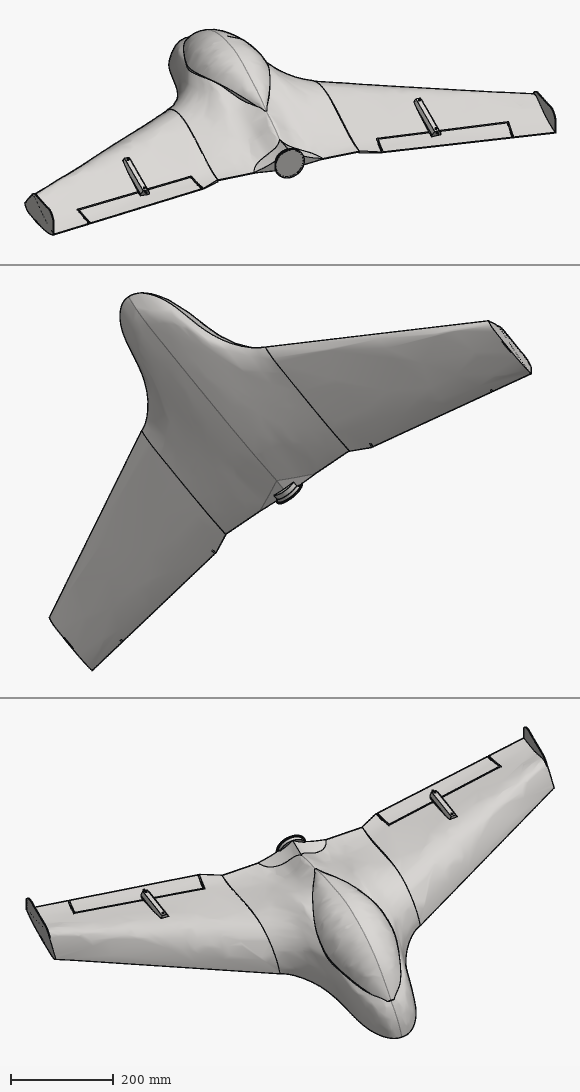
import cadquery as cq
import math


LENGTH = 600.0
HALF_SPAN = 533.0
ROOT_Y = 150.0
BODY_TAIL_X = 521.0
ROOT_LE_X = 245.0
TIP_LE_X = 459.0
KINK_Y = 188.0
KINK_X = 541.0
TRAILING_EDGE = 1.0
BELLY_DEPTH = 23.66
WING_DEPTH = 12.5

TOP_FRACTIONS = (0.1, 0.28, 0.55, 0.85)
BOTTOM_FRACTIONS = (0.8, 0.5, 0.2, 0.07)
BOTTOM_DEPTH_RATIOS = (0.72, 0.985, 0.985, 0.72)

BODY_RIBS = (
    (0.0, 0.0, BELLY_DEPTH, (54, 74, 84, 54)),
    (10.0, 1.2, 23.4, (55, 73, 84, 51)),
    (19.0, 5.0, 23.0, (56, 72, 84, 44)),
    (35.0, 19.0, 22.0, (55, 71, 84, 32)),
    (48.0, 39.0, 20.5, (53, 70, 83, 25)),
    (60.0, 71.0, 19.0, (52, 72, 81, 20)),
    (69.0, 113.0, 18.0, (52, 75, 75, 17)),
    (82.0, 161.0, 16.5, (49, 70, 64, 14)),
    (108.0, 209.0, 14.5, (40, 60, 49, 12)),
    (129.0, 232.0, 13.0, (36, 55, 43, 10)),
    (ROOT_Y, ROOT_LE_X, WING_DEPTH, (33, 51, 38, 7)),
)
ROOT_HEIGHTS = BODY_RIBS[-1][3]
TIP_HEIGHTS = (15, 35, 21, 6)

CANOPY_FRAMES = (
    (52.0, 8.0, 53.0, 56.0),
    (70.0, 25.0, 59.0, 71.0),
    (98.0, 42.0, 64.0, 91.0),
    (140.0, 58.0, 66.0, 111.0),
    (197.0, 72.0, 71.0, 123.0),
    (225.0, 72.0, 76.0, 124.0),
    (261.0, 67.0, 82.0, 122.0),
    (316.0, 48.0, 84.0, 107.0),
    (360.0, 28.0, 78.0, 91.0),
    (385.0, 14.0, 71.0, 80.5),
    (410.0, 4.0, 64.0, 67.0),
)
CANOPY_EMBED = 12.0
CANOPY_SHOULDER_Y = 0.69
CANOPY_SHOULDER_Z = 0.62

MOTOR_Z = 8.0
MOTOR_DISC_R = 31.0
MOTOR_BOSS_R = 28.5
MOTOR_CRADLE_R = 27.5
MOTOR_BOSS_START_X = 518.0
MOTOR_CRADLE_START_X = 508.0
MOTOR_DISC_X = 525.0
MOTOR_DISC_T = 2.5
FAIRING_START_X = 460.0
FAIRING_HALF_PROFILE = ((77.0, 0.0), (49.0, 8.0), (24.0, 19.0), (0.0, 36.5))
FAIRING_DEPTH = 8.0

WINGLET_T = 2.0
WINGLET_TOP = 45.0
WINGLET_FRONT = (494.0, 36.0)
WINGLET_FRONT_ROUND = ((503.0, 43.0), (515.0, WINGLET_TOP))
WINGLET_REAR_ROUND = ((568.0, WINGLET_TOP), (591.0, 41.0), (LENGTH, 30.0))
WINGLET_KEEL = ((544.0, -11.0), (524.0, -13.0), (503.0, -12.5), (471.0, -6.0))

ELEVON_INNER_Y = 189.0
ELEVON_OUTER_Y = 450.0
ELEVON_CHORD = 44.0
ELEVON_GAP = 3.0
ELEVON_CUT_H = 45.0

LINKAGE_Y = 309.0
LINKAGE_START = (441.0, 44.0)
LINKAGE_END = (534.0, 18.0)
LINKAGE_BASE_W = 19.0
LINKAGE_TOP_W = 9.5
LINKAGE_SIDE_H = 8.0
LINKAGE_ROOT_H = 16.0
PIN_D = 3.6
PIN_H = 2.0
PIN_INSET = 6.0
PUSHROD_D = 2.9
PUSHROD_END_X = 539.0


def rib(y, le_x, te_x, depth, heights):
    """Closed airfoil-like wire in the plane at y."""
    chord = te_x - le_x
    nose = cq.Vector(le_x, y, 0)
    tail_top = cq.Vector(te_x, y, TRAILING_EDGE)
    tail_bottom = cq.Vector(te_x, y, -TRAILING_EDGE)
    top = [cq.Vector(le_x + f * chord, y, z) for f, z in zip(TOP_FRACTIONS, heights)]
    bottom = [
        cq.Vector(le_x + f * chord, y, -depth * ratio)
        for f, ratio in zip(BOTTOM_FRACTIONS, BOTTOM_DEPTH_RATIOS)
    ]
    return cq.Wire.assembleEdges([
        cq.Edge.makeSpline([nose] + top + [tail_top]),
        cq.Edge.makeLine(tail_top, tail_bottom),
        cq.Edge.makeSpline([tail_bottom] + bottom + [nose]),
    ])


def half_body():
    """+Y half of the centre body, from the centre plane to the wing joint."""
    ribs = [rib(y, le_x, BODY_TAIL_X, depth, heights) for y, le_x, depth, heights in BODY_RIBS]
    return cq.Workplane(cq.Solid.makeLoft(ribs, False))


def trailing_edge_x(y):
    """X of the swept outer trailing edge, extended to any y."""
    return KINK_X + (LENGTH - KINK_X) * (y - KINK_Y) / (HALF_SPAN - KINK_Y)


def outer_wing():
    """Swept, tapered wing panel with the inner end of its trailing edge cut back to the body."""
    root = rib(ROOT_Y, ROOT_LE_X, trailing_edge_x(ROOT_Y), WING_DEPTH, ROOT_HEIGHTS)
    tip = rib(HALF_SPAN, TIP_LE_X, LENGTH, WING_DEPTH, TIP_HEIGHTS)
    wing = cq.Workplane(cq.Solid.makeLoft([root, tip], True))
    notch = (
        cq.Workplane("XY", origin=(0, 0, -BELLY_DEPTH))
        .moveTo(BODY_TAIL_X, ROOT_Y)
        .lineTo(KINK_X, KINK_Y)
        .lineTo(LENGTH, ROOT_Y)
        .close()
        .extrude(2 * BELLY_DEPTH)
    )
    return wing.cut(notch)


def elevon_gap():
    """Groove around three sides of the elevon, open upward from the wing mid plane."""
    sweep = math.atan2(LENGTH - KINK_X, HALF_SPAN - KINK_Y)
    length = (ELEVON_OUTER_Y - ELEVON_INNER_Y) / math.cos(sweep)
    edge_plane = cq.Plane(
        origin=(trailing_edge_x(ELEVON_INNER_Y), ELEVON_INNER_Y, 0),
        xDir=(math.sin(sweep), math.cos(sweep), 0),
        normal=(0, 0, 1),
    )

    def panel(inset):
        rectangle = cq.Workplane(edge_plane).rect(length - 2 * inset, 2 * (ELEVON_CHORD - inset))
        return rectangle.extrude(ELEVON_CUT_H).translate(edge_plane.xDir * (length / 2))

    return panel(0).cut(panel(ELEVON_GAP))


def linkage():
    """Sloping trapezoidal rail over the servo arm with two pins on top and a short pushrod behind."""
    (x0, z0), (x1, z1) = LINKAGE_START, LINKAGE_END
    run = math.hypot(x1 - x0, z1 - z0)
    plane = cq.Plane(origin=(x0, LINKAGE_Y, z0), xDir=(0, 1, 0), normal=(x1 - x0, 0, z1 - z0))
    top, base = LINKAGE_TOP_W / 2, LINKAGE_BASE_W / 2
    rail = (
        cq.Workplane(plane)
        .polyline([
            (-top, 0), (top, 0), (base, -LINKAGE_SIDE_H), (base, -LINKAGE_ROOT_H),
            (-base, -LINKAGE_ROOT_H), (-base, -LINKAGE_SIDE_H),
        ])
        .close()
        .extrude(run)
    )
    top_plane = cq.Plane(
        origin=(x0, LINKAGE_Y, z0), xDir=(x1 - x0, 0, z1 - z0), normal=(z0 - z1, 0, x1 - x0)
    )
    pins = (
        cq.Workplane(top_plane)
        .pushPoints([(PIN_INSET, 0), (run - PIN_INSET, 0)])
        .circle(PIN_D / 2)
        .extrude(PIN_H)
    )
    pushrod_start_x = x1 - PIN_INSET
    pushrod = (
        cq.Workplane("YZ", origin=(pushrod_start_x, LINKAGE_Y, z1 - PUSHROD_D))
        .circle(PUSHROD_D / 2)
        .extrude(PUSHROD_END_X - pushrod_start_x)
    )
    return rail.union(pins).union(pushrod)


def winglet():
    """Thin end plate whose lower edge wraps the wing tip."""
    rear_start, rear_mid, rear_end = WINGLET_REAR_ROUND
    outline = (
        cq.Workplane("XZ", origin=(0, HALF_SPAN, 0))
        .moveTo(TIP_LE_X, 0)
        .lineTo(*WINGLET_FRONT)
        .threePointArc(*WINGLET_FRONT_ROUND)
        .lineTo(*rear_start)
        .threePointArc(rear_mid, rear_end)
        .lineTo(LENGTH, -TRAILING_EDGE)
        .spline(WINGLET_KEEL + ((TIP_LE_X, 0),), includeCurrent=True)
        .close()
    )
    return outline.extrude(WINGLET_T)


def half_canopy():
    """+Y half of the canopy; its arched frames meet the centre plane at a slight ridge."""
    frames = []
    for x, half_width, sill, crown in CANOPY_FRAMES:
        top = cq.Vector(x, 0, crown)
        edge = cq.Vector(x, half_width, sill)
        shoulder = cq.Vector(x, CANOPY_SHOULDER_Y * half_width, sill + CANOPY_SHOULDER_Z * (crown - sill))
        edge_foot = cq.Vector(x, half_width, sill - CANOPY_EMBED)
        centre_foot = cq.Vector(x, 0, sill - CANOPY_EMBED)
        frames.append(cq.Wire.assembleEdges([
            cq.Edge.makeThreePointArc(top, shoulder, edge),
            cq.Edge.makeLine(edge, edge_foot),
            cq.Edge.makeLine(edge_foot, centre_foot),
            cq.Edge.makeLine(centre_foot, top),
        ]))
    return cq.Workplane(cq.Solid.makeLoft(frames, False))


def motor_mount():
    """Round motor disc and boss, faired into the tail above and cradled below."""
    minus_y_half = [(-y, z) for y, z in FAIRING_HALF_PROFILE]
    plus_y_half = FAIRING_HALF_PROFILE[::-1]
    fairing = (
        cq.Workplane("YZ", origin=(FAIRING_START_X, 0, 0))
        .moveTo(*minus_y_half[0])
        .spline(minus_y_half[1:], includeCurrent=True)
        .spline(plus_y_half[1:], includeCurrent=True)
        .lineTo(0, -FAIRING_DEPTH)
        .close()
        .extrude(BODY_TAIL_X - FAIRING_START_X)
    )
    boss = (
        cq.Workplane("YZ", origin=(MOTOR_BOSS_START_X, 0, MOTOR_Z))
        .circle(MOTOR_BOSS_R)
        .extrude(MOTOR_DISC_X - MOTOR_BOSS_START_X)
    )
    disc = (
        cq.Workplane("YZ", origin=(MOTOR_DISC_X, 0, MOTOR_Z))
        .circle(MOTOR_DISC_R)
        .extrude(MOTOR_DISC_T)
    )
    cradle = (
        cq.Workplane("YZ", origin=(MOTOR_CRADLE_START_X, 0, MOTOR_Z))
        .moveTo(-MOTOR_CRADLE_R, 0)
        .threePointArc((0, -MOTOR_CRADLE_R), (MOTOR_CRADLE_R, 0))
        .close()
        .extrude(MOTOR_BOSS_START_X - MOTOR_CRADLE_START_X)
    )
    return fairing.union(cradle).union(boss).union(disc)


half = half_body().union(half_canopy())
half = half.union(outer_wing()).cut(elevon_gap()).union(linkage()).union(winglet())
result = half.union(half.mirror("XZ")).union(motor_mount())